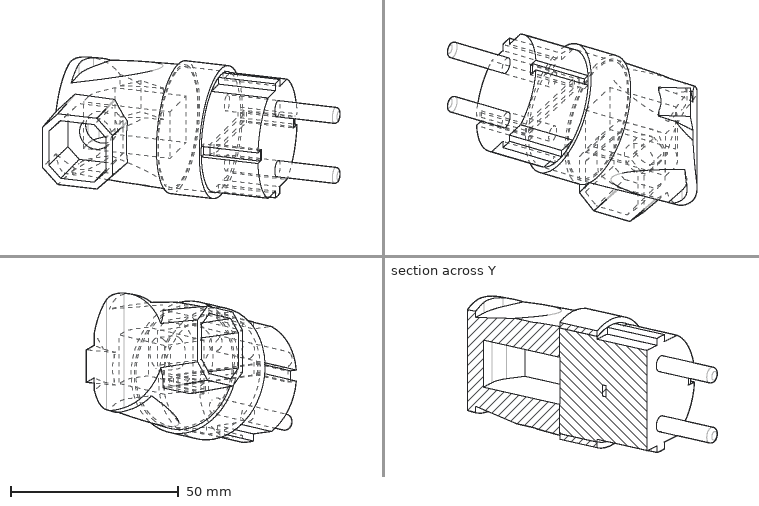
import cadquery as cq
import math


total_length = 83.9
collar_start = 33.3
collar_end = 46.8
insert_end = 64.7

collar_diameter = 40.0
shell_radius = 18.8
shell_draft = 2.0
flat_angle = 10.0
flat_start = 29.4

bend_radius = 15.1
bend_start_y = -2.7
oblique_angle = 35.0
rear_draft = 1.5
rim_thickness = 3.0
shoulder_y = 15.8
shoulder_angle = 14.3

tab_width = 9.9
tab_root_y = 15.1
tab_tip_y = 22.2
tab_front_x = 22.6
tab_front_y = 18.1

gland_end_y = -29.9
gland_center_x = 11.75
gland_size_x = 22.2
gland_size_z = 22.5
gland_chamfer = 4.95
gland_draft = 2.0
gland_length = 19.3
gland_wall = 2.1
gland_pocket_chamfer = 3.8
gland_pocket_draft = 1.0
gland_pocket_depth = 16.8
cable_hole_diameter = 10.1

chamber_wall = 5.9
chamber_side_y = 7.4

insert_radius = 18.2
insert_flat = 15.9
key_width = 4.1
groove_width = 3.35
groove_floor = 15.9

contact_start = 48.75
contact_thickness = 1.0

pin_diameter = 4.9
pin_spacing = 19.05
pin_tip_fillet = 1.1

beyond = 50.3
collar_radius = collar_diameter / 2
oblique_tan = math.tan(math.radians(oblique_angle))
gland_pocket_floor_y = gland_end_y + gland_pocket_depth


def rear_point(y, offset):
    """Point at height y on the oblique face moved inward by the offset."""
    radius = bend_radius - offset
    tangent_x = bend_radius - radius * math.cos(math.radians(oblique_angle))
    tangent_y = bend_start_y + radius * math.sin(math.radians(oblique_angle))
    return (tangent_x + (y - tangent_y) * oblique_tan, y)


def bend_point(angle, offset):
    """Point on the rear bend at the given angle, moved inward by the offset."""
    radius = bend_radius - offset
    turn = math.radians(angle)
    return (bend_radius - radius * math.cos(turn), bend_start_y + radius * math.sin(turn))


def region_in_front_of_rear(offset):
    """Everything on the +X side of the rear surface moved inward by the offset."""
    low_y = -beyond
    low_x = offset + (bend_start_y - low_y) * math.tan(math.radians(rear_draft))
    return (
        cq.Workplane("XY", origin=(0, 0, -beyond))
        .moveTo(low_x, low_y)
        .lineTo(offset, bend_start_y)
        .threePointArc(bend_point(oblique_angle / 2, offset), bend_point(oblique_angle, offset))
        .lineTo(*rear_point(beyond, offset))
        .lineTo(2 * beyond, beyond)
        .lineTo(2 * beyond, low_y)
        .close()
        .extrude(2 * beyond)
    )


def cylinder(start, end, radius):
    """Cylinder on the plug axis."""
    return cq.Workplane("YZ", origin=(start, 0, 0)).circle(radius).extrude(end - start)


def block(x_range, y_range, z_range):
    """Box between the given limits."""
    return cq.Workplane("XY").box(
        x_range[1] - x_range[0], y_range[1] - y_range[0], z_range[1] - z_range[0], centered=False
    ).translate((x_range[0], y_range[0], z_range[0]))


def shell_body():
    """Drafted round shell with its collar, before the rear is trimmed."""
    rear_radius = shell_radius - collar_start * math.tan(math.radians(shell_draft))
    return (
        cq.Workplane("XY")
        .polyline([
            (0, 0), (0, rear_radius), (collar_start, shell_radius), (collar_start, collar_radius),
            (collar_end, collar_radius), (collar_end, 0),
        ])
        .close()
        .revolve(360, (0, 0, 0), (1, 0, 0))
    )


def sloped_flats():
    """Wedges above and below the shell that stop at the rear rim."""
    rise = flat_start * math.tan(math.radians(flat_angle))
    wedge = (
        cq.Workplane("XZ", origin=(0, beyond, 0))
        .polyline([(0, shell_radius - rise), (flat_start, shell_radius), (flat_start, beyond), (0, beyond)])
        .close()
        .extrude(2 * beyond)
        .intersect(region_in_front_of_rear(rim_thickness))
    )
    return wedge.union(wedge.mirror("XY"))


def shoulder_cut():
    """Slanted trim of the shell behind the grip tab."""
    start_x, start_y = rear_point(shoulder_y, 0)
    rise = (collar_start - start_x) * math.tan(math.radians(shoulder_angle))
    return (
        cq.Workplane("XY", origin=(0, 0, -beyond))
        .polyline([
            (start_x, start_y), (collar_start, start_y + rise), (collar_start, beyond),
            (0, beyond), (0, start_y),
        ])
        .close()
        .extrude(2 * beyond)
    )


def grip_tab():
    """Flat tab that carries the oblique face past the shell."""
    return (
        cq.Workplane("XY", origin=(0, 0, -tab_width / 2))
        .polyline([
            rear_point(tab_root_y, 0), rear_point(tab_tip_y, 0),
            (tab_front_x, tab_front_y), (tab_front_x, tab_root_y),
        ])
        .close()
        .extrude(tab_width)
    )


def octagon_prism(size_x, size_z, chamfer, length, taper):
    """Chamfered rectangle extruded from the gland mouth toward +Y."""
    half_x = size_x / 2
    half_z = size_z / 2
    return (
        cq.Workplane("XZ", origin=(gland_center_x, gland_end_y, 0))
        .polyline([
            (half_x, half_z - chamfer), (half_x - chamfer, half_z),
            (chamfer - half_x, half_z), (-half_x, half_z - chamfer),
            (-half_x, chamfer - half_z), (chamfer - half_x, -half_z),
            (half_x - chamfer, -half_z), (half_x, chamfer - half_z),
        ])
        .close()
        .extrude(-length, taper=taper)
    )


def gland():
    """Outside of the cable gland, growing wider toward the shell."""
    return octagon_prism(gland_size_x, gland_size_z, gland_chamfer, gland_length, -gland_draft)


def gland_pocket():
    """Octagonal pocket in the gland mouth."""
    return octagon_prism(
        gland_size_x - 2 * gland_wall, gland_size_z - 2 * gland_wall,
        gland_pocket_chamfer, gland_pocket_depth, gland_pocket_draft,
    )


def wiring_space():
    """Cable hole from the gland pocket and the chamber that it opens into."""
    cable_hole = (
        cq.Workplane("XZ", origin=(gland_center_x, gland_pocket_floor_y, 0))
        .circle(cable_hole_diameter / 2)
        .extrude(gland_pocket_floor_y)
    )
    chamber = block(
        (0, collar_start), (-chamber_side_y, chamber_side_y), (-chamber_side_y, chamber_side_y)
    ).intersect(region_in_front_of_rear(chamber_wall))
    return cable_hole.union(chamber)


def make_housing():
    """Shell, collar, gland and grip tab in one piece, open at the front for the insert."""
    body = shell_body().cut(sloped_flats()).cut(shoulder_cut())
    body = body.union(grip_tab()).union(gland())
    body = body.intersect(region_in_front_of_rear(0))
    body = body.cut(gland_pocket()).cut(wiring_space())
    return body.cut(cylinder(collar_start, collar_end, insert_radius))


def make_contact():
    """U-shaped earth strip: a crossbar through the insert and a leg along each side groove."""
    outer = block(
        (contact_start, insert_end), (-groove_floor, groove_floor), (-groove_width / 2, groove_width / 2)
    )
    leg_y = groove_floor - contact_thickness
    opening = block(
        (contact_start + contact_thickness, insert_end), (-leg_y, leg_y),
        (-groove_width / 2, groove_width / 2),
    )
    return outer.cut(opening)


def make_pin(z):
    """Round contact pin with a rounded tip."""
    return (
        cylinder(contact_start, total_length, pin_diameter / 2)
        .faces(">X").edges().fillet(pin_tip_fillet)
        .translate((0, 0, z))
    )


def make_insert(fitted_bodies):
    """Front body with keyed flats above and below and a groove on each side."""
    body = cylinder(collar_start, insert_end, insert_radius)
    lengthwise = (collar_end, insert_end)
    for side in (-1, 1):
        z_range = sorted((side * insert_flat, side * beyond))
        body = body.cut(block(lengthwise, (key_width / 2, beyond), z_range))
        body = body.cut(block(lengthwise, (-beyond, -key_width / 2), z_range))
        y_range = sorted((side * groove_floor, side * beyond))
        body = body.cut(block(lengthwise, y_range, (-groove_width / 2, groove_width / 2)))
    for fitted in fitted_bodies:
        body = body.cut(fitted)
    return body


housing = make_housing()
contact = make_contact()
pins = [make_pin(side * pin_spacing / 2) for side in (-1, 1)]
insert = make_insert([contact, *pins])

result = cq.Compound.makeCompound([
    *housing.solids().vals(),
    *insert.solids().vals(),
    *contact.solids().vals(),
    *[pin.solids().val() for pin in pins],
])